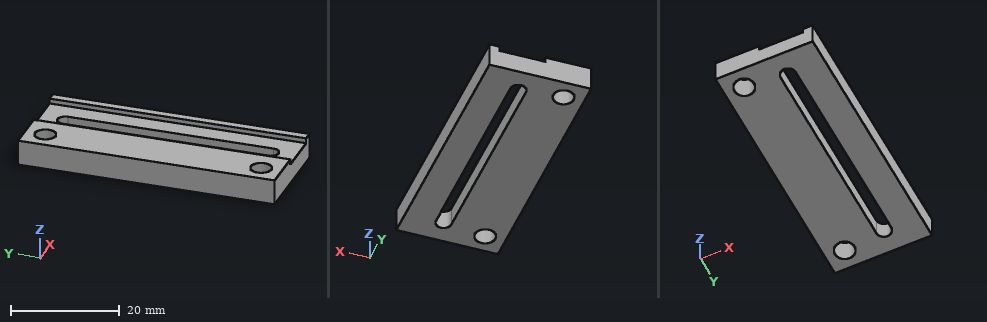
import cadquery as cq

width = 20
length = 50
thickness = 5

channel_left = 9
channel_width = 9
channel_depth = 1

slot_center_x = 12.5
slot_width = 3
slot_end_margin = 3.5
slot_length = length - 2 * slot_end_margin

hole_diameter = 4
hole_inset = 4


def make_plate():
    return cq.Workplane("XY").box(width, length, thickness, centered=False)


def make_channel():
    return (
        cq.Workplane("XY", origin=(channel_left, 0, thickness - channel_depth))
        .box(channel_width, length, channel_depth, centered=False)
    )


def make_slot():
    return (
        cq.Workplane("XY")
        .center(slot_center_x, length / 2)
        .slot2D(slot_length, slot_width, angle=90)
        .extrude(thickness)
    )


def make_holes():
    centers = [(hole_inset, y) for y in (hole_inset, length - hole_inset)]
    return (
        cq.Workplane("XY")
        .pushPoints(centers)
        .circle(hole_diameter / 2)
        .extrude(thickness)
    )


result = make_plate().cut(make_channel()).cut(make_slot()).cut(make_holes())